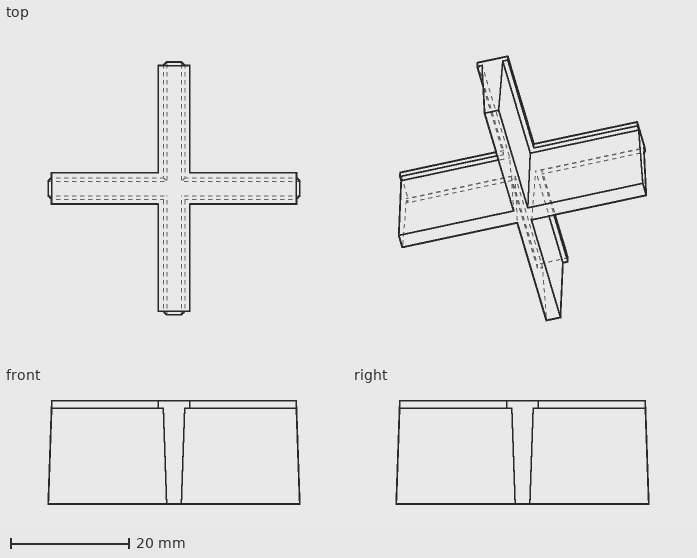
import cadquery as cq
import math

height = 17.5
foot_length_x = 42.55
foot_length_y = 42.7

cap_thickness = 1.3
cap_width = 5.35
foot_thickness = 2.48

draft_angle = 2.0
draft_slope = math.tan(math.radians(draft_angle))

web_height = height - cap_thickness
web_top_thickness = foot_thickness + 2 * web_height * draft_slope


def arm_pair(foot_length):
    """Two opposite arms along X, with end faces sloping inwards up to the cap top."""
    top_length = foot_length - 2 * height * draft_slope

    section = (
        cq.Workplane("YZ")
        .moveTo(-foot_thickness / 2, 0)
        .lineTo(foot_thickness / 2, 0)
        .lineTo(web_top_thickness / 2, web_height)
        .lineTo(cap_width / 2, web_height)
        .lineTo(cap_width / 2, height)
        .lineTo(-cap_width / 2, height)
        .lineTo(-cap_width / 2, web_height)
        .lineTo(-web_top_thickness / 2, web_height)
        .close()
        .extrude(foot_length / 2, both=True)
    )

    side_outline = (
        cq.Workplane("XZ")
        .moveTo(-foot_length / 2, 0)
        .lineTo(foot_length / 2, 0)
        .lineTo(top_length / 2, height)
        .lineTo(-top_length / 2, height)
        .close()
        .extrude(cap_width, both=True)
    )
    return section.intersect(side_outline)


arms_along_x = arm_pair(foot_length_x)
arms_along_y = arm_pair(foot_length_y).rotate((0, 0, 0), (0, 0, 1), 90)

result = arms_along_x.union(arms_along_y)